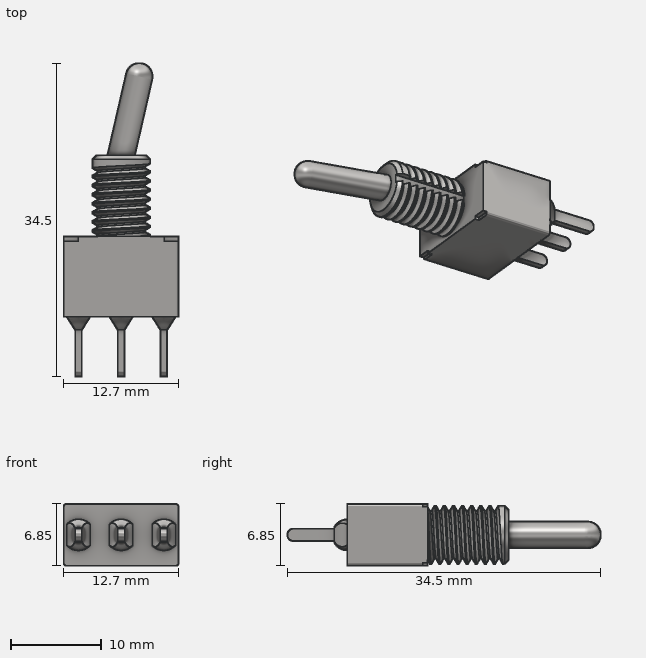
import cadquery as cq
import math


CASE_WIDTH = 12.7
CASE_LENGTH = 8.85
CASE_HEIGHT = 6.85
EDGE_RADIUS = 0.35

BRACKET_WIDTH = 9.47
BRACKET_THICKNESS = EDGE_RADIUS
FACE_PLATE_THICKNESS = 0.52
ARM_LENGTH = 7.57
TAB_LENGTH = 0.75
TAB_WIDTH = 1.5
TAB_OFFSET = 2.15

BUSHING_RADIUS = 3.2
BUSHING_LENGTH = 8.95
BUSHING_CHAMFER = 0.45
THREAD_PITCH = 1.0
THREAD_DEPTH = 0.55
THREAD_TURNS = 9
THREAD_END_Y = 8.12
GROOVE_ROOT_WIDTH = 0.2
FLANK_HALF_ANGLE = 30
GROOVE_MARGIN = 0.1
KEYWAY_WIDTH = 0.95
KEYWAY_DEPTH = 0.73

LEVER_RADIUS = 1.5
LEVER_EMBED = 2.97
LEVER_TILT = 12.9
LEVER_REACH = 10.15

PIN_PITCH = 4.7
PIN_WIDTH = 0.75
PIN_HEIGHT = 1.4
PIN_REACH = 6.6
PIN_TIP_RADIUS = 0.49 * PIN_HEIGHT
BEAD_RADIUS = 1.73
BEAD_BASE_WIDTH = 2.6
BEAD_LENGTH = 1.45
BEAD_INSET = 0.07

OVERLAP = 0.35


def block(x_min, x_max, y_min, y_max, z_min, z_max):
    """Axis-aligned block between the given limits."""
    size = (x_max - x_min, y_max - y_min, z_max - z_min)
    return cq.Workplane("XY").box(*size, centered=False).translate((x_min, y_min, z_min))


def make_case():
    """Case with rounded long edges, stepped down beside the bracket at the mounting face."""
    case = (
        cq.Workplane("XY")
        .box(CASE_WIDTH, CASE_LENGTH, CASE_HEIGHT)
        .edges("|Y")
        .fillet(EDGE_RADIUS)
        .translate((0, -CASE_LENGTH / 2, 0))
    )
    center = cq.Workplane("XY").box(BRACKET_WIDTH, CASE_LENGTH, CASE_HEIGHT)
    plate_area = block(
        -CASE_WIDTH / 2, CASE_WIDTH / 2, -FACE_PLATE_THICKNESS, 0, -CASE_HEIGHT / 2, CASE_HEIGHT / 2
    )
    return case.cut(plate_area.cut(make_face_plate()).cut(center))


def make_face_plate():
    """Bracket plate across the mounting face, as high as the gap between the arms."""
    half_height = CASE_HEIGHT / 2 - BRACKET_THICKNESS
    return block(
        -CASE_WIDTH / 2, CASE_WIDTH / 2, -FACE_PLATE_THICKNESS, 0, -half_height, half_height
    )


def make_arm(side):
    """Bracket arm with two tabs, on the +Z (side = 1) or -Z (side = -1) face."""
    z_inner = CASE_HEIGHT / 2 - BRACKET_THICKNESS
    z_outer = CASE_HEIGHT / 2
    arm = block(-BRACKET_WIDTH / 2, BRACKET_WIDTH / 2, -ARM_LENGTH, 0, z_inner, z_outer)
    for x in (-TAB_OFFSET, TAB_OFFSET):
        tab = block(
            x - TAB_WIDTH / 2, x + TAB_WIDTH / 2, -ARM_LENGTH - TAB_LENGTH, -ARM_LENGTH, z_inner, z_outer
        )
        arm = arm.union(tab)
    return arm if side > 0 else arm.mirror("XY")


def make_thread_groove():
    """Right-handed V groove about the Y axis, starting and ending on the -X side."""
    length = THREAD_TURNS * THREAD_PITCH
    root_radius = BUSHING_RADIUS - THREAD_DEPTH
    root_half = GROOVE_ROOT_WIDTH / 2
    mouth_half = root_half + (THREAD_DEPTH + GROOVE_MARGIN) * math.tan(math.radians(FLANK_HALF_ANGLE))
    profile = cq.Workplane("XZ").polyline([
        (root_radius, -root_half),
        (BUSHING_RADIUS + GROOVE_MARGIN, -mouth_half),
        (BUSHING_RADIUS + GROOVE_MARGIN, mouth_half),
        (root_radius, root_half),
    ]).close()
    helix = cq.Workplane(obj=cq.Wire.makeHelix(THREAD_PITCH, length, root_radius))
    return (
        profile.sweep(helix, isFrenet=True)
        .rotate((0, 0, 0), (0, 0, 1), 180)
        .rotate((0, 0, 0), (1, 0, 0), -90)
        .translate((0, THREAD_END_Y - length, 0))
    )


def make_bushing():
    """Threaded bushing with a chamfered end and a keyway along its -X side."""
    root_y = THREAD_END_Y - (THREAD_TURNS + 1) * THREAD_PITCH
    bushing = (
        cq.Workplane("XZ", origin=(0, root_y, 0))
        .circle(BUSHING_RADIUS)
        .extrude(root_y - BUSHING_LENGTH)
        .faces(">Y")
        .chamfer(BUSHING_CHAMFER)
        .cut(make_thread_groove())
    )
    keyway = block(
        -BUSHING_RADIUS - OVERLAP, -BUSHING_RADIUS + KEYWAY_DEPTH,
        root_y, BUSHING_LENGTH,
        -KEYWAY_WIDTH / 2, KEYWAY_WIDTH / 2,
    )
    below_face = block(
        -CASE_WIDTH, CASE_WIDTH, root_y - OVERLAP, -OVERLAP, -CASE_HEIGHT, CASE_HEIGHT
    )
    return bushing.cut(keyway).cut(below_face)


def make_lever():
    """Tilted round lever with a hemispherical tip."""
    rise = LEVER_REACH - LEVER_RADIUS
    shaft = rise / math.cos(math.radians(LEVER_TILT))
    profile = (
        cq.Workplane("XY")
        .moveTo(0, -LEVER_EMBED)
        .lineTo(LEVER_RADIUS, -LEVER_EMBED)
        .lineTo(LEVER_RADIUS, shaft)
        .radiusArc((0, shaft + LEVER_RADIUS), -LEVER_RADIUS)
        .close()
    )
    return (
        profile.revolve(360, (0, 0, 0), (0, 1, 0))
        .rotate((0, 0, 0), (0, 0, 1), -LEVER_TILT)
        .translate((0, BUSHING_LENGTH, 0))
    )


def make_pin(x):
    """Flat pin with a rounded end, rising from a dome cut by two sloping flats."""
    pin = (
        cq.Workplane("XY")
        .box(PIN_WIDTH, PIN_REACH + OVERLAP, PIN_HEIGHT)
        .translate((0, (OVERLAP - PIN_REACH) / 2, 0))
        .edges("<Y and |X")
        .fillet(PIN_TIP_RADIUS)
    )
    slope = (BEAD_BASE_WIDTH - PIN_WIDTH) / 2 / BEAD_LENGTH
    root_half = BEAD_BASE_WIDTH / 2 + slope * OVERLAP
    wedge = (
        cq.Workplane("XY")
        .polyline([
            (-root_half, OVERLAP),
            (root_half, OVERLAP),
            (PIN_WIDTH / 2, -BEAD_LENGTH),
            (-PIN_WIDTH / 2, -BEAD_LENGTH),
        ])
        .close()
        .extrude(BEAD_RADIUS, both=True)
    )
    bead = cq.Workplane("XY").sphere(BEAD_RADIUS).translate((0, BEAD_INSET, 0)).intersect(wedge)
    return pin.union(bead).translate((x, -CASE_LENGTH, 0))


result = make_case().union(make_bushing()).union(make_lever())
for pin_x in (-PIN_PITCH, 0, PIN_PITCH):
    result = result.union(make_pin(pin_x))

result = result.union(make_face_plate(), clean=False)
for arm_side in (-1, 1):
    result = result.union(make_arm(arm_side), clean=False)